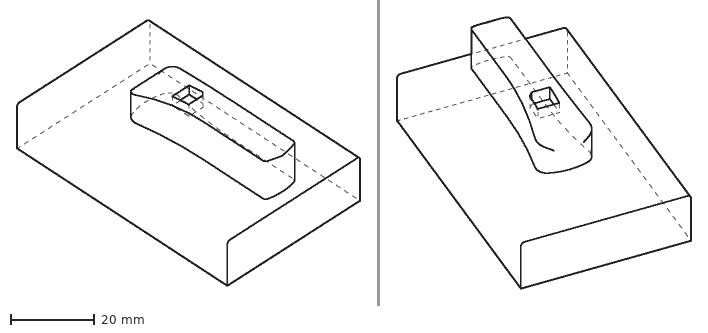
import cadquery as cq
import math

base_length = 72.0
base_width = 45.0
base_height = 14.05
base_edge_radius = 1.0

lever_height = 11.95
shaft_half_width = 5.2
nose_x = -14.8
head_x = -12.95
head_corner_radius = 3.0
flank_radius = 106.55
flank_end_x = 10.1
tail_x = 32.2
tail_side_x = 31.4
tail_corner_radius = 1.0

crown_radius = 75.6
crown_end_x = 10.6
crown_ramp_x = 5.55
nose_lean = math.radians(4.2)
nose_top_radius = 1.9
tail_top_radius = 0.6

pocket_min_x = -2.7
pocket_max_x = 2.95
pocket_width = 5.75
pocket_corner_chamfer = 1.0
pocket_floor_z = base_height + 7.9


def make_base():
    """Block with its two long top edges rounded."""
    block = cq.Workplane("XY").box(base_length, base_width, base_height, centered=(True, True, False))
    return block.edges("|X and >Z").fillet(base_edge_radius)


def flank_y(x):
    """Half width of the flared head, on an arc tangent to the straight shaft."""
    run = flank_end_x - x
    return shaft_half_width + flank_radius - math.sqrt(flank_radius**2 - run**2)


def crown_z(x):
    """Height of the crown, on an arc that would meet the flat top tangentially."""
    run = crown_end_x - x
    return base_height + lever_height - crown_radius + math.sqrt(crown_radius**2 - run**2)


def make_outline_body():
    """Upright prism of the lever outline, with rounded head and tail corners."""
    head_y = flank_y(head_x)
    flank_mid_x = (head_x + flank_end_x) / 2
    flank_mid_y = flank_y(flank_mid_x)
    body = (
        cq.Workplane("XY", origin=(0, 0, base_height))
        .moveTo(head_x, head_y)
        .threePointArc((nose_x, 0), (head_x, -head_y))
        .threePointArc((flank_mid_x, -flank_mid_y), (flank_end_x, -shaft_half_width))
        .lineTo(tail_side_x, -shaft_half_width)
        .threePointArc((tail_x, 0), (tail_side_x, shaft_half_width))
        .lineTo(flank_end_x, shaft_half_width)
        .threePointArc((flank_mid_x, flank_mid_y), (head_x, head_y))
        .close()
        .extrude(lever_height)
    )
    body = body.edges("|Z").edges("<X").fillet(head_corner_radius)
    return body.edges("|Z").edges(">X").fillet(tail_corner_radius)


def make_profile_body():
    """Wide side profile: leaning nose, crown arc, short ramp and flat top."""
    top_z = base_height + lever_height
    nose_top_x = nose_x + math.tan(nose_lean) * (crown_z(nose_x) - base_height)
    crown_mid_x = (nose_top_x + crown_ramp_x) / 2
    half_width = flank_y(nose_x) + 0.7
    body = (
        cq.Workplane("XZ")
        .moveTo(nose_x, base_height)
        .lineTo(nose_top_x, crown_z(nose_top_x))
        .threePointArc((crown_mid_x, crown_z(crown_mid_x)), (crown_ramp_x, crown_z(crown_ramp_x)))
        .lineTo(crown_end_x, top_z)
        .lineTo(tail_x, top_z)
        .lineTo(tail_x, base_height)
        .close()
        .extrude(half_width, both=True)
    )
    nose_edge = cq.selectors.NearestToPointSelector((nose_top_x, 0, crown_z(nose_top_x)))
    body = body.edges(nose_edge).fillet(nose_top_radius)
    return body.edges("|Y and >X and >Z").fillet(tail_top_radius)


def make_pocket():
    """Rectangular pocket volume with one bevelled corner."""
    length = pocket_max_x - pocket_min_x
    depth = base_height + lever_height - pocket_floor_z
    return (
        cq.Workplane("XY", origin=((pocket_min_x + pocket_max_x) / 2, 0, pocket_floor_z))
        .box(length, pocket_width, depth, centered=(True, True, False))
        .edges("|Z and >X and >Y")
        .chamfer(pocket_corner_chamfer)
    )


def make_lever():
    """Lever standing on the base: outline and side profile combined, then pocketed."""
    return make_outline_body().intersect(make_profile_body()).cut(make_pocket())


base = make_base()
lever = make_lever()

result = cq.Compound.makeCompound([base.val(), *lever.vals()])